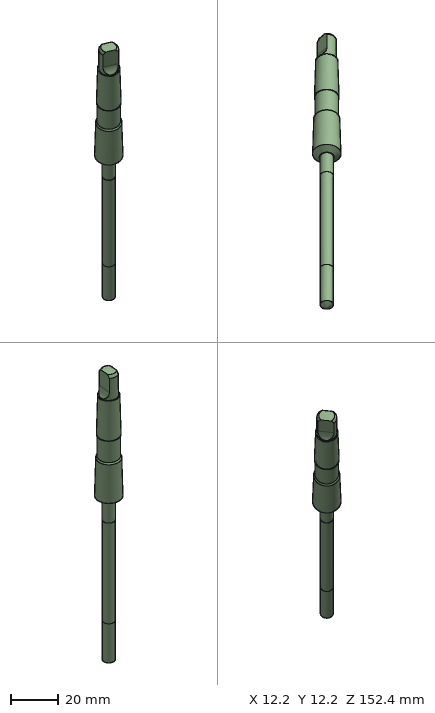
import cadquery as cq
import math

total_length = 152.4
drill_diameter = 5.6
neck_diameter = 5.8
point_angle = 118.0
cutting_length = 22.1
neck_bottom = 74.5

shank_bottom = 85.2
taper_bottom = 87.0
taper_large_diameter = 12.2
taper_ratio = 20.0
taper_top = 139.5
recess_bottom = 107.6
recess_top = 118.9
recess_diameter = 10.0
recess_chamfer = 0.8
shank_end_diameter = 6.4

tang_diameter = 8.5
tang_thickness = 5.0
tang_chamfer_height = 1.5
tang_crown_height = 0.2
tang_chamfer_width = 0.9
tang_flat_bottom = 143.5
tang_runout_radius = 5.3
tang_angle = 40.0

drill_radius = drill_diameter / 2
neck_radius = neck_diameter / 2
tang_radius = tang_diameter / 2
recess_radius = recess_diameter / 2
point_height = drill_radius / math.tan(math.radians(point_angle / 2))


def taper_radius(height):
    """Radius of the conical shank at a height."""
    return (taper_large_diameter - (height - taper_bottom) / taper_ratio) / 2


def make_cutting_end():
    """Pointed cylindrical cutting end."""
    profile = [(0, 0), (drill_radius, point_height), (drill_radius, cutting_length), (0, cutting_length)]
    return cq.Workplane("XZ").polyline(profile).close().revolve(360, (0, 0), (0, 1))


def make_tang_cutter():
    """Tool that leaves one tang flat, with a concave runout at its lower end."""
    flat_x = tang_thickness / 2
    runout = cq.Workplane("XZ").center(flat_x + tang_runout_radius, tang_flat_bottom)
    runout = runout.circle(tang_runout_radius).extrude(taper_large_diameter / 2, both=True)
    flat = cq.Workplane("XY").box(
        taper_large_diameter, taper_large_diameter, total_length - tang_flat_bottom,
        centered=(False, True, False),
    ).translate((flat_x, 0, tang_flat_bottom))
    return flat.union(runout)


def make_shank():
    """Stepped drill stem and recessed taper shank, with a flattened driving tang and crowned top."""
    collar_top = recess_bottom - recess_chamfer
    profile = [
        (0, cutting_length),
        (drill_radius, cutting_length),
        (drill_radius, neck_bottom),
        (neck_radius, neck_bottom),
        (neck_radius, shank_bottom),
        (shank_end_diameter / 2, shank_bottom),
        (taper_radius(taper_bottom), taper_bottom),
        (taper_radius(collar_top), collar_top),
        (recess_radius, recess_bottom),
        (recess_radius, recess_top),
        (taper_radius(recess_top), recess_top),
        (taper_radius(taper_top), taper_top),
        (tang_radius, taper_top),
        (tang_radius, total_length - tang_chamfer_height),
        (tang_radius - tang_chamfer_width, total_length - tang_crown_height),
        (0, total_length),
    ]
    body = cq.Workplane("XZ").polyline(profile).close().revolve(360, (0, 0), (0, 1))
    cutter = make_tang_cutter()
    for side_angle in (0, 180):
        body = body.cut(cutter.rotate((0, 0, 0), (0, 0, 1), side_angle - tang_angle))
    return body


cutting_end = make_cutting_end()
shank = make_shank()
result = cq.Compound.makeCompound([cutting_end.val(), shank.val()])